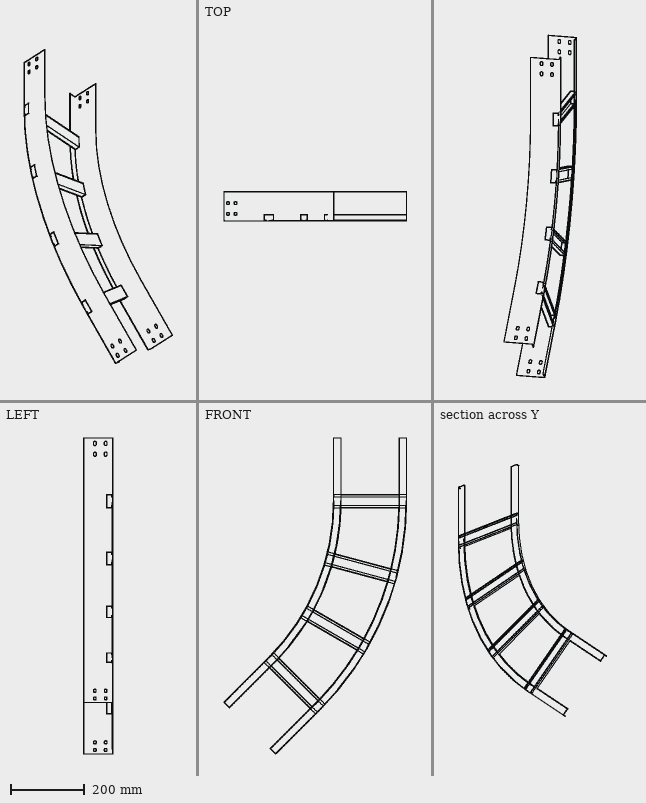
import cadquery as cq
import math

OVERALL_HEIGHT = 861.0
BEND_ANGLE = 45.0
INNER_RADIUS = 601.0
LADDER_WIDTH = 200.0
OUTER_RADIUS = INNER_RADIUS + LADDER_WIDTH
BEND_ANGLE_RADIANS = math.radians(BEND_ANGLE)
OUTER_BEND_HEIGHT = OUTER_RADIUS * math.sin(BEND_ANGLE_RADIANS)
STRAIGHT_LENGTH = (OVERALL_HEIGHT - OUTER_BEND_HEIGHT) / (1 + math.cos(BEND_ANGLE_RADIANS))

SHEET = 1.3
RAIL_DEPTH = 80.0
FLANGE_WIDTH = 21.5
FOLD_RADIUS = 2.15

RUNG_COUNT = 4
RUNG_WIDTH = 37.0
RUNG_LIP = 7.0
RUNG_FRONT = FOLD_RADIUS
RUNG_DEPTH = 15.5

HOLE_WIDTH = 7.0
HOLE_DIRECTION = 90
HOLE_LENGTH = 11.0
HOLE_SPACING = 29.0
HOLE_END_DISTANCE = 15.5
HOLE_FRONT_DISTANCE = 20.0


def at_angle(shape, angle):
    """Swing a shape round the bend axis, from the upper end of the bend down towards the lower one."""
    return shape.rotate((0, 0, 0), (0, 1, 0), angle)


def rail_section(web_x, inward):
    """Section of a rail: a deep web, and a front flange whose tip curls back by a quarter round.

    The web's outer face is at web_x, and inward (1 or -1) is the X direction of the flange.
    """

    def point(across, y):
        return (web_x + inward * across, y)

    def fold_middle(centre_across, side, radius):
        reach = radius * math.sqrt(0.5)
        return point(centre_across + side * reach, FOLD_RADIUS - reach)

    inside_radius = FOLD_RADIUS - SHEET
    web_fold = FOLD_RADIUS
    tip_fold = FLANGE_WIDTH - FOLD_RADIUS
    return (
        cq.Workplane("XY")
        .moveTo(*point(0, RAIL_DEPTH))
        .lineTo(*point(0, FOLD_RADIUS))
        .threePointArc(fold_middle(web_fold, -1, FOLD_RADIUS), point(web_fold, 0))
        .lineTo(*point(tip_fold, 0))
        .threePointArc(fold_middle(tip_fold, 1, FOLD_RADIUS), point(FLANGE_WIDTH, FOLD_RADIUS))
        .lineTo(*point(FLANGE_WIDTH - SHEET, FOLD_RADIUS))
        .threePointArc(fold_middle(tip_fold, 1, inside_radius), point(tip_fold, SHEET))
        .lineTo(*point(web_fold, SHEET))
        .threePointArc(fold_middle(web_fold, -1, inside_radius), point(SHEET, FOLD_RADIUS))
        .lineTo(*point(SHEET, RAIL_DEPTH))
        .close()
    )


def rail(web_x, inward):
    """Rail with a straight at each end of its bend."""
    upper = rail_section(web_x, inward).extrude(STRAIGHT_LENGTH)
    bend = rail_section(web_x, inward).revolve(BEND_ANGLE, (0, 0, 0), (0, 1, 0))
    lower = at_angle(rail_section(web_x, inward).extrude(-STRAIGHT_LENGTH), BEND_ANGLE)
    return upper.union(bend).union(lower)


def rung_block(front_y, depth, width):
    """Block across the ladder at the upper end of the bend, its ends halfway through the webs."""
    length = LADDER_WIDTH - SHEET
    block = cq.Workplane("XY").box(length, depth, width, centered=(False, False, True))
    return block.translate((INNER_RADIUS + SHEET / 2, front_y, 0))


def rung():
    """Lipped channel, open at the front."""
    body = rung_block(RUNG_FRONT, RUNG_DEPTH, RUNG_WIDTH)
    hollow = rung_block(RUNG_FRONT + SHEET, RUNG_DEPTH - 2 * SHEET, RUNG_WIDTH - 2 * SHEET)
    mouth = rung_block(RUNG_FRONT, SHEET, RUNG_WIDTH - 2 * RUNG_LIP)
    return body.cut(hollow).cut(mouth)


def end_holes():
    """Cutters for the four slots at each end of both rails."""
    centre_y = HOLE_FRONT_DISTANCE + HOLE_SPACING / 2
    centre_z = STRAIGHT_LENGTH - HOLE_END_DISTANCE - HOLE_SPACING / 2
    upper = (
        cq.Workplane("YZ", origin=(INNER_RADIUS - SHEET, centre_y, centre_z))
        .rarray(HOLE_SPACING, HOLE_SPACING, 2, 2)
        .slot2D(HOLE_LENGTH, HOLE_WIDTH, HOLE_DIRECTION)
        .extrude(LADDER_WIDTH + 2 * SHEET)
    )
    lower = at_angle(upper.mirror("XY"), BEND_ANGLE)
    return upper.union(lower)


rails = rail(INNER_RADIUS, 1).union(rail(OUTER_RADIUS, -1))
result = rails.cut(end_holes())
for rung_index in range(RUNG_COUNT):
    rung_angle = BEND_ANGLE * rung_index / (RUNG_COUNT - 1)
    result = result.union(at_angle(rung(), rung_angle))